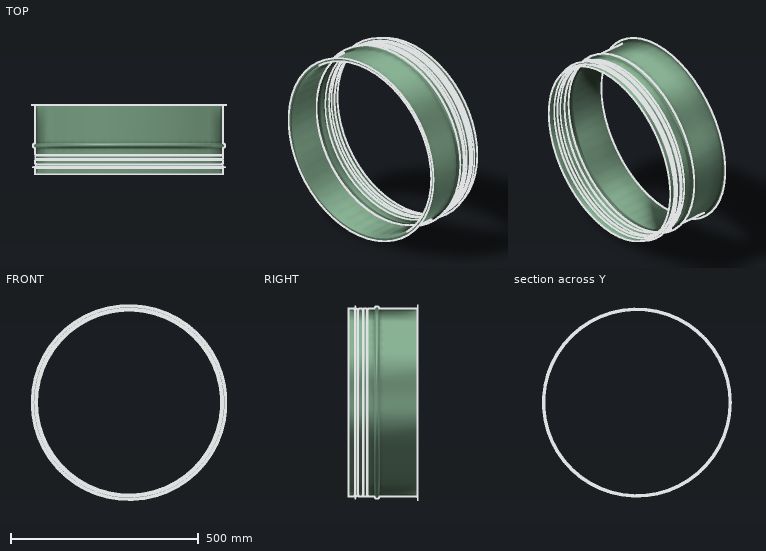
import cadquery as cq
import math


collar_length = 185.0
flange_radius = 260.0
sheet = 0.5
outer_radius = 502.0 / 2
inner_radius = outer_radius - sheet
flange_bend = 1.5

bead_y = 76.5
bead_half_width = 8.0
bead_crest_radius = 257.0
bead_blend = 1.5

recess_floor_radius = 245.5
edge_bend = 2.5
floor_bend = 2.0
spacer_front = 38.0
spacer_back = 52.0
seal_front = 16.5
seal_back = 27.0

spacer_outer_radius = outer_radius
spacer_chamfer = 3.0

seal_outer_radius = 249.5
seal_chamfer = 1.5
lip_root_front = 18.5
lip_root_back = 20.5
lip_tip_front = 18.0
lip_tip_width = 0.5
lip_tip_radius = 257.0


def revolve_about_y(profile):
    return profile.close().revolve(360, (0, 0), (0, 1))


def bead_path(surface_offset):
    """Arc points of the bead and its blends on a surface this far inside the outer skin, front to back."""
    rise = bead_crest_radius - outer_radius
    crown = (bead_half_width**2 + (rise - bead_blend)**2 - bead_blend**2) / (2 * rise)
    tilt = math.asin(bead_half_width / (crown + bead_blend))
    crown_centre = bead_crest_radius - crown
    crown_radius = crown - surface_offset
    blend_radius = bead_blend + surface_offset
    blend_centre = outer_radius + bead_blend
    skin = outer_radius - surface_offset
    tangent = (crown_centre + crown_radius * math.cos(tilt), crown_radius * math.sin(tilt))
    blend_middle = (
        blend_centre - blend_radius * math.cos(tilt / 2),
        bead_half_width - blend_radius * math.sin(tilt / 2),
    )
    half = [(skin, bead_half_width), blend_middle, tangent]
    front_half = [(radius, bead_y - reach) for radius, reach in half]
    back_half = [(radius, bead_y + reach) for radius, reach in reversed(half)]
    return front_half + [(crown_centre + crown_radius, bead_y)] + back_half


def draw_bead(profile, points):
    """A blend, the crown and a second blend, each an arc through three of the points."""
    profile = profile.lineTo(*points[0])
    for middle, end in zip(points[1::2], points[2::2]):
        profile = profile.threePointArc(middle, end)
    return profile


def quarter_middle(centre, radius, radial_side, y_side):
    """Middle of a quarter circle, on the given sides (+1 or -1) of its centre."""
    reach = radius * math.sqrt(0.5)
    return (centre[0] + radial_side * reach, centre[1] + y_side * reach)


def recess_wall(wall_y, outward, surface_offset):
    """Points of a recess wall from cylinder to floor; outward is -1 at a front wall, +1 at a back wall."""
    skin = outer_radius - surface_offset
    floor = recess_floor_radius - surface_offset
    wall_y = wall_y + outward * surface_offset
    edge = edge_bend - surface_offset
    low = floor_bend + surface_offset
    edge_centre = (skin - edge, wall_y + outward * edge)
    low_centre = (floor + low, wall_y - outward * low)
    return [
        (skin, edge_centre[1]),
        quarter_middle(edge_centre, edge, 1, -outward),
        (edge_centre[0], wall_y),
        (low_centre[0], wall_y),
        quarter_middle(low_centre, low, -1, outward),
        (floor, low_centre[1]),
    ]


def recess_path(front, back, surface_offset):
    front_wall = recess_wall(front, -1, surface_offset)
    back_wall = recess_wall(back, 1, surface_offset)
    return front_wall + back_wall[::-1]


def draw_recess(profile, points):
    """Two walls of six points each: arc, straight wall, arc."""
    for first in range(0, len(points), 3):
        start, middle, end = points[first:first + 3]
        profile = profile.lineTo(*start).threePointArc(middle, end)
    return profile


def make_collar():
    flange_front = collar_length - sheet
    inner_bend = flange_bend + sheet
    bend_centre = (outer_radius + flange_bend, flange_front - flange_bend)

    profile = cq.Workplane("XY").moveTo(inner_radius, 0).lineTo(outer_radius, 0)
    profile = draw_recess(profile, recess_path(seal_front, seal_back, 0))
    profile = draw_recess(profile, recess_path(spacer_front, spacer_back, 0))
    profile = draw_bead(profile, bead_path(0))
    profile = (
        profile
        .lineTo(outer_radius, bend_centre[1])
        .threePointArc(quarter_middle(bend_centre, flange_bend, -1, 1), (bend_centre[0], flange_front))
        .lineTo(flange_radius, flange_front)
        .lineTo(flange_radius, collar_length)
        .lineTo(bend_centre[0], collar_length)
        .threePointArc(quarter_middle(bend_centre, inner_bend, -1, 1), (inner_radius, bend_centre[1]))
    )
    profile = draw_bead(profile, bead_path(sheet)[::-1])
    profile = draw_recess(profile, recess_path(spacer_front, spacer_back, sheet)[::-1])
    profile = draw_recess(profile, recess_path(seal_front, seal_back, sheet)[::-1])
    return revolve_about_y(profile)


def make_ring(front, back, ring_radius, chamfer):
    """Ring that fills a recess from wall to wall, rounded to match the floor bends and chamfered on top."""
    floor = recess_floor_radius
    low_radius = floor + floor_bend
    shoulder_radius = ring_radius - chamfer
    front_low = (low_radius, front + floor_bend)
    back_low = (low_radius, back - floor_bend)
    profile = (
        cq.Workplane("XY")
        .moveTo(floor, front_low[1])
        .threePointArc(quarter_middle(front_low, floor_bend, -1, -1), (low_radius, front))
        .lineTo(shoulder_radius, front)
        .lineTo(ring_radius, front + chamfer)
        .lineTo(ring_radius, back - chamfer)
        .lineTo(shoulder_radius, back)
        .lineTo(low_radius, back)
        .threePointArc(quarter_middle(back_low, floor_bend, -1, 1), (floor, back_low[1]))
    )
    return revolve_about_y(profile)


def make_spacer_ring():
    return make_ring(spacer_front, spacer_back, spacer_outer_radius, spacer_chamfer)


def make_lip_seal():
    """Seal ring with a tapered lip that leans toward the rim."""
    root_radius = seal_outer_radius - seal_chamfer
    lip = cq.Workplane("XY").polyline([
        (root_radius, lip_root_front),
        (seal_outer_radius, lip_root_front),
        (lip_tip_radius, lip_tip_front),
        (lip_tip_radius, lip_tip_front + lip_tip_width),
        (seal_outer_radius, lip_root_back),
        (root_radius, lip_root_back),
    ])
    band = make_ring(seal_front, seal_back, seal_outer_radius, seal_chamfer)
    return band.union(revolve_about_y(lip))


collar = make_collar().rotate((0, 0, 0), (0, 1, 0), 180)
spacer_ring = make_spacer_ring()
lip_seal = make_lip_seal()

result = cq.Compound.makeCompound([collar.val(), spacer_ring.val(), lip_seal.val()])